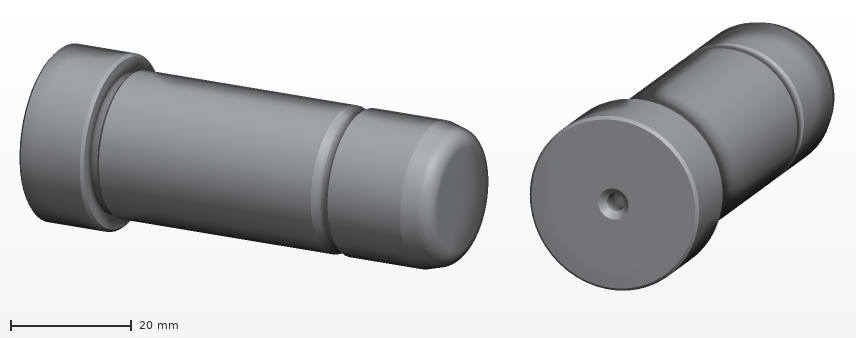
import cadquery as cq
import math

LENGTH = 75.0
HEAD_RADIUS = 15.0
HEAD_LENGTH = 12.0
HEAD_CHAMFER = 0.5
SHANK_RADIUS = 12.5

NECK_DEPTH = 0.45
NECK_LENGTH = 1.3
NECK_CHAMFER = 0.5

GROOVE_START = 53.3
GROOVE_CONE_LENGTH = 1.6
GROOVE_ARC_LENGTH = 1.6
GROOVE_DEPTH = 0.7
GROOVE_ARC_SAG = 0.2

TAPER_ANGLE = math.radians(15)
NOSE_RADIUS = 3.0
TAPER_START = 70.05

CENTRE_DIAMETER = 3.1
COUNTERSINK_DIAMETER = 5.3
COUNTERSINK_ANGLE = 90
CENTRE_DEPTH = 4.5
DRILL_POINT_ANGLE = 120


def cone_length(radius_change, included_angle):
    """Axial length over which a cone changes radius by the given amount."""
    return radius_change / math.tan(math.radians(included_angle / 2))


def turned_body():
    neck_radius = SHANK_RADIUS - NECK_DEPTH
    neck_end = HEAD_LENGTH + NECK_LENGTH

    groove_radius = SHANK_RADIUS - GROOVE_DEPTH
    groove_bottom = GROOVE_START + GROOVE_CONE_LENGTH
    groove_end = groove_bottom + GROOVE_ARC_LENGTH

    nose_centre_x = LENGTH - NOSE_RADIUS
    taper_end = nose_centre_x + NOSE_RADIUS * math.sin(TAPER_ANGLE)
    taper_end_radius = SHANK_RADIUS - (taper_end - TAPER_START) * math.tan(TAPER_ANGLE)
    nose_centre_radius = taper_end_radius - NOSE_RADIUS * math.cos(TAPER_ANGLE)
    middle_angle = (math.pi / 2 - TAPER_ANGLE) / 2
    nose_middle = (
        nose_centre_x + NOSE_RADIUS * math.cos(middle_angle),
        nose_centre_radius + NOSE_RADIUS * math.sin(middle_angle),
    )

    profile = (
        cq.Workplane("XY")
        .moveTo(0, 0)
        .lineTo(0, HEAD_RADIUS - HEAD_CHAMFER)
        .lineTo(HEAD_CHAMFER, HEAD_RADIUS)
        .lineTo(HEAD_LENGTH - HEAD_CHAMFER, HEAD_RADIUS)
        .lineTo(HEAD_LENGTH, HEAD_RADIUS - HEAD_CHAMFER)
        .lineTo(HEAD_LENGTH, neck_radius)
        .lineTo(neck_end, neck_radius)
        .lineTo(neck_end + NECK_CHAMFER, SHANK_RADIUS)
        .lineTo(GROOVE_START, SHANK_RADIUS)
        .lineTo(groove_bottom, groove_radius)
        .sagittaArc((groove_end, SHANK_RADIUS), -GROOVE_ARC_SAG)
        .lineTo(TAPER_START, SHANK_RADIUS)
        .lineTo(taper_end, taper_end_radius)
        .threePointArc(nose_middle, (LENGTH, nose_centre_radius))
        .lineTo(LENGTH, 0)
        .close()
    )
    return profile.revolve(360, (0, 0, 0), (1, 0, 0))


def centre_hole():
    outer_radius = COUNTERSINK_DIAMETER / 2
    inner_radius = CENTRE_DIAMETER / 2
    countersink_depth = cone_length(outer_radius - inner_radius, COUNTERSINK_ANGLE)
    tip_depth = CENTRE_DEPTH + cone_length(inner_radius, DRILL_POINT_ANGLE)
    profile = (
        cq.Workplane("XY")
        .moveTo(0, 0)
        .lineTo(0, outer_radius)
        .lineTo(countersink_depth, inner_radius)
        .lineTo(CENTRE_DEPTH, inner_radius)
        .lineTo(tip_depth, 0)
        .close()
    )
    return profile.revolve(360, (0, 0, 0), (1, 0, 0))


result = turned_body().cut(centre_hole())